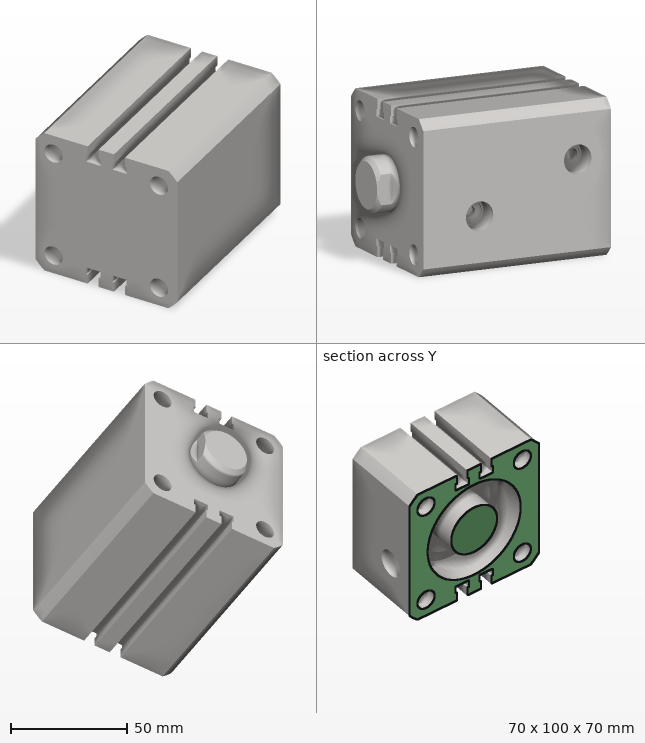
import cadquery as cq


side = 70.0
housing_length = 90.0
corner_diameter = 93.0
bolt_diameter = 9.0
bolt_spacing = 52.0
bore_diameter = 50.0
rear_wall = 11.5

slot_spacing = 13.0
slot_neck_width = 5.4
slot_head_width = 7.0
slot_neck_depth = 4.7
slot_depth = 8.0

port_mouth_diameter = 13.1
port_taper_end_diameter = 12.5
port_taper_depth = 9.0
port_recess_diameter = 10.7
port_depth = 9.5
passage_diameter = 5.0
port_height = 10.0
rear_port_y = 16.0
front_port_y = 63.0
rear_passage_y = rear_wall + passage_diameter / 2
front_passage_y = front_port_y

rod_diameter = 25.0
rod_projection = 10.0
rod_chamfer = 2.0
flats_width = 21.0
flats_length = 7.0

piston_length = 25.0
piston_chamfer = 2.5

gland_nose_diameter = 39.0
gland_nose_y = 64.0
gland_body_y = front_passage_y + passage_diameter / 2

edge_blend = 1.0

rod_end_y = housing_length + rod_projection


def cylinder_y(diameter, y_start, y_end):
    """Round bar on the Y axis between two Y positions."""
    return cq.Workplane("XZ", origin=(0, y_start, 0)).circle(diameter / 2).extrude(y_start - y_end)


def make_slots():
    """Four T-slots running the full length of the housing."""
    slots = cq.Workplane("XY")
    mid_y = housing_length / 2
    head_depth = slot_depth - slot_neck_depth
    for sign_x in (-1, 1):
        for sign_z in (-1, 1):
            x = sign_x * slot_spacing / 2
            neck_z = sign_z * (side / 2 - slot_depth / 2)
            head_z = sign_z * (side / 2 - slot_depth + head_depth / 2)
            neck = cq.Workplane("XY").box(slot_neck_width, housing_length, slot_depth)
            head = cq.Workplane("XY").box(slot_head_width, housing_length, head_depth)
            slots = slots.add(neck.translate((x, mid_y, neck_z)))
            slots = slots.add(head.translate((x, mid_y, head_z)))
    return slots.combine()


def make_port(port_y, passage_y, z):
    """Cutting shape of one port with its passage into the bore."""
    profile = [
        (0, 0),
        (port_mouth_diameter / 2, 0),
        (port_taper_end_diameter / 2, port_taper_depth),
        (port_recess_diameter / 2, port_taper_depth),
        (port_recess_diameter / 2, port_depth),
        (0, port_depth),
    ]
    mouth = cq.Workplane("XY").polyline(profile).close().revolve(360, (0, 0, 0), (0, 1, 0))
    mouth = mouth.rotate((0, 0, 0), (0, 0, 1), -90).translate((-side / 2, port_y, z))
    passage = (
        cq.Workplane("YZ", origin=(-side / 2, passage_y, z))
        .circle(passage_diameter / 2)
        .extrude(side / 2 - rod_diameter / 2)
    )
    return mouth.union(passage)


def make_housing():
    block = cq.Workplane("XY").box(side, housing_length, side).translate((0, housing_length / 2, 0))
    housing = block.intersect(cylinder_y(corner_diameter, 0, housing_length))
    bolt_holes = (
        cq.Workplane("XZ")
        .rect(bolt_spacing, bolt_spacing, forConstruction=True)
        .vertices()
        .circle(bolt_diameter / 2)
        .extrude(-housing_length)
    )
    housing = housing.cut(bolt_holes).cut(make_slots())
    housing = housing.cut(cylinder_y(bore_diameter, rear_wall, housing_length))
    housing = housing.cut(make_port(rear_port_y, rear_passage_y, port_height))
    return housing.cut(make_port(front_port_y, front_passage_y, -port_height))


def blend_chamfer(body, chamfer, y):
    """Round the circular edge where an end chamfer meets the cylinder at the given Y."""
    reach = chamfer / 2
    edge_zone = cq.selectors.BoxSelector((-side, y - reach, -side), (side, y + reach, side))
    return body.edges("%CIRCLE").edges(edge_zone).fillet(edge_blend)


def make_rod():
    rod = cylinder_y(rod_diameter, rear_wall, rod_end_y)
    rod = rod.faces(">Y").chamfer(rod_chamfer)
    rod = blend_chamfer(rod, rod_chamfer, rod_end_y - rod_chamfer)
    depth = (rod_diameter - flats_width) / 2
    flat_end_y = rod_end_y - flats_length
    inner = flats_width / 2
    outer = inner + depth
    outline = [(inner, rod_end_y), (inner, flat_end_y), (outer, flat_end_y - depth), (outer, rod_end_y)]
    for sign in (-1, 1):
        flat = (
            cq.Workplane("XY")
            .polyline([(sign * x, y) for x, y in outline])
            .close()
            .extrude(rod_diameter / 2, both=True)
        )
        rod = rod.cut(flat)
    return rod


def make_piston():
    piston = cylinder_y(bore_diameter, rear_wall, rear_wall + piston_length)
    piston = piston.faces("<Y").chamfer(piston_chamfer)
    piston = blend_chamfer(piston, piston_chamfer, rear_wall + piston_chamfer)
    return piston.cut(cylinder_y(rod_diameter, rear_wall, rear_wall + piston_length))


def make_gland():
    nose = cylinder_y(gland_nose_diameter, gland_nose_y, housing_length)
    gland = nose.union(cylinder_y(bore_diameter, gland_body_y, housing_length))
    return gland.cut(cylinder_y(rod_diameter, gland_nose_y, housing_length))


housing = make_housing()
rod = make_rod()
piston = make_piston()
gland = make_gland()

result = cq.Compound.makeCompound([housing.val(), rod.val(), piston.val(), gland.val()])